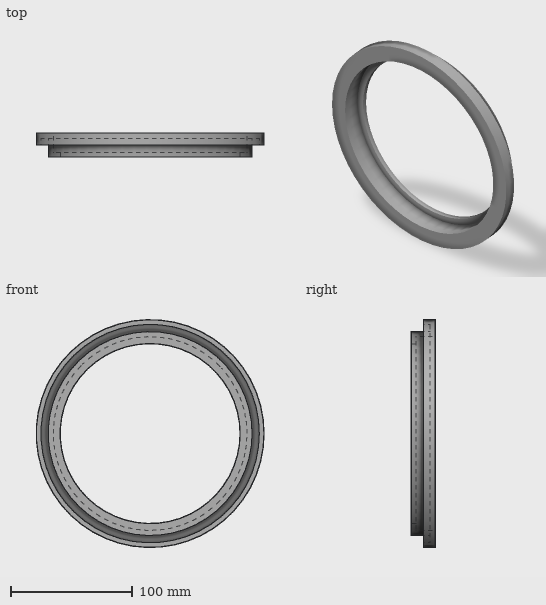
import cadquery as cq

flange_radius = 94.0
groove_outer_radius = 90.0
spigot_radius = 84.0
bore_radius = 74.0
rear_bore_radius = 79.9

flange_thickness = 10.0
spigot_length = 10.0
groove_depth = 5.5
bore_lip_length = 4.0

spigot_end = -spigot_length
groove_floor = groove_depth
bore_step = spigot_end + bore_lip_length

section = [
    (bore_radius, spigot_end),
    (spigot_radius, spigot_end),
    (spigot_radius, groove_floor),
    (groove_outer_radius, groove_floor),
    (groove_outer_radius, 0),
    (flange_radius, 0),
    (flange_radius, flange_thickness),
    (rear_bore_radius, flange_thickness),
    (rear_bore_radius, bore_step),
    (bore_radius, bore_step),
]

result = cq.Workplane("XY").polyline(section).close().revolve(360, (0, 0, 0), (0, 1, 0))